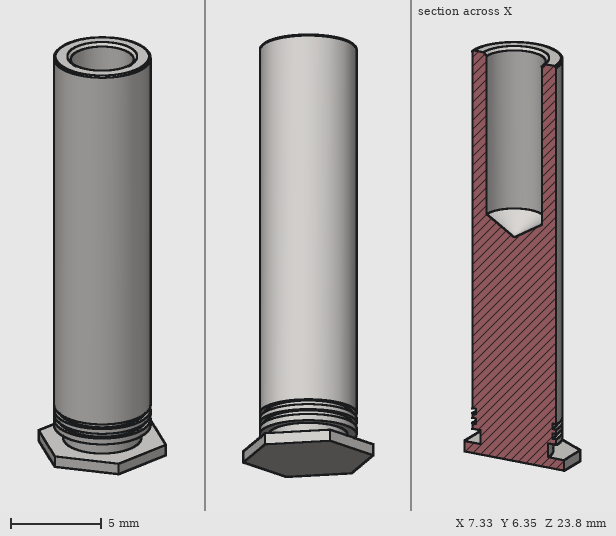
import cadquery as cq
import math

TOTAL_HEIGHT = 23.8
HEX_ACROSS_FLATS = 6.35
HEAD_HEIGHT = 0.65

BARREL_DIAMETER = 5.38
BARREL_CHAMFER = 0.1
NECK_DIAMETER = 4.35
NECK_TOP = 1.43
GROOVE_DIAMETER = 4.88
GROOVE_WIDTH = 0.29
GROOVE_PITCH = 2 * GROOVE_WIDTH
GROOVE_COUNT = 2
FIRST_GROOVE_BOTTOM = 1.79

HOLE_DIAMETER = 3.5
HOLE_DEPTH = 9.52
MOUTH_CHAMFER = 0.2
DRILL_POINT_ANGLE = 118.0


def cylinder(diameter, bottom, top):
    """Solid cylinder on the Z axis between two heights."""
    return cq.Workplane("XY").workplane(offset=bottom).circle(diameter / 2).extrude(top - bottom)


def hex_head():
    """Hexagonal plate with two corners on the X axis."""
    across_corners = HEX_ACROSS_FLATS / math.cos(math.radians(30))
    return cq.Workplane("XY").polygon(6, across_corners).extrude(HEAD_HEIGHT)


def barrel():
    """Round barrel with a chamfered top edge."""
    body = cylinder(BARREL_DIAMETER, NECK_TOP, TOTAL_HEIGHT)
    return body.faces(">Z").edges().chamfer(BARREL_CHAMFER)


def groove(bottom):
    """Ring to remove around the barrel."""
    top = bottom + GROOVE_WIDTH
    return cylinder(BARREL_DIAMETER, bottom, top).cut(cylinder(GROOVE_DIAMETER, bottom, top))


def blind_hole():
    """Revolved hole volume: chamfered mouth, straight wall and conical bottom."""
    radius = HOLE_DIAMETER / 2
    wall_bottom = TOTAL_HEIGHT - HOLE_DEPTH
    cone_depth = radius / math.tan(math.radians(DRILL_POINT_ANGLE / 2))
    profile = (
        cq.Workplane("XZ")
        .moveTo(0, wall_bottom - cone_depth)
        .lineTo(radius, wall_bottom)
        .lineTo(radius, TOTAL_HEIGHT - MOUTH_CHAMFER)
        .lineTo(radius + MOUTH_CHAMFER, TOTAL_HEIGHT)
        .lineTo(0, TOTAL_HEIGHT)
        .close()
    )
    return profile.revolve(360, (0, 0, 0), (0, 1, 0))


neck = cylinder(NECK_DIAMETER, HEAD_HEIGHT, NECK_TOP)
result = hex_head().union(neck).union(barrel())
for index in range(GROOVE_COUNT):
    result = result.cut(groove(FIRST_GROOVE_BOTTOM + index * GROOVE_PITCH))
result = result.cut(blind_hole())